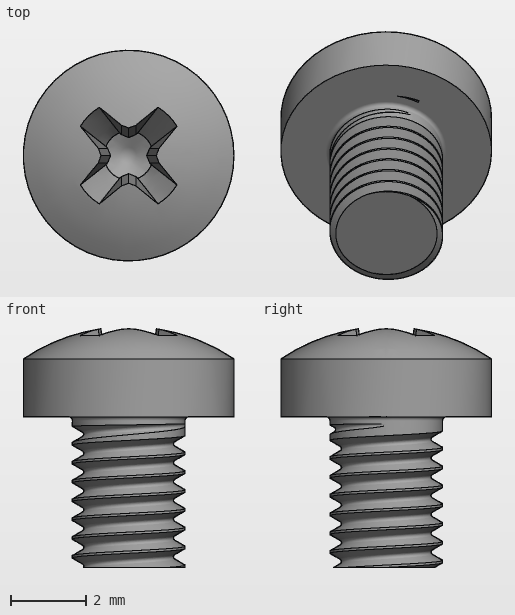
import cadquery as cq
import math

head_diameter = 5.6
head_height = 2.4
dome_radius = 5.0

shank_diameter = 3.0
shank_length = 4.0
under_head_fillet = 0.1
pitch = 0.5
flank_half_angle = 30.0
sharp_depth = pitch / 2 / math.tan(math.radians(flank_half_angle))
thread_depth = sharp_depth * 17 / 24
root_arc_radius = sharp_depth / 6
crest_width = pitch / 8
groove_overshoot = 0.04
last_groove_z = -0.465
runout_turns = 0.5

wing_count = 4
wing_tip_radius = 1.5
wing_tip_half_angle = 26.5
wing_bottom_radius = 0.65
point_half_angle = 62.0
ridge_radius = 0.735
ridge_draft = 7.4
ridge_half_width = 0.195
ridge_slope = 20.5
flank_direction = 40.4

head_radius = head_diameter / 2
shank_radius = shank_diameter / 2
root_radius = shank_radius - thread_depth


def tangent(degrees):
    return math.tan(math.radians(degrees))


def dome_z(radius):
    """Height of the dome surface at a distance from the axis."""
    return head_height - dome_radius + math.sqrt(dome_radius**2 - radius**2)


def make_blank():
    """Head and unthreaded shank, with the fillet under the head."""
    mid_radius = head_radius / 2
    fillet_offset = under_head_fillet * (1 - math.sqrt(0.5))
    return (
        cq.Workplane("XZ")
        .moveTo(0, -shank_length)
        .lineTo(shank_radius, -shank_length)
        .lineTo(shank_radius, -under_head_fillet)
        .threePointArc(
            (shank_radius + fillet_offset, -fillet_offset),
            (shank_radius + under_head_fillet, 0),
        )
        .lineTo(head_radius, 0)
        .lineTo(head_radius, dome_z(head_radius))
        .threePointArc((mid_radius, dome_z(mid_radius)), (0, head_height))
        .close()
        .revolve(360, (0, 0), (0, 1))
    )


def make_groove(turns, start_z, growth=0):
    """Groove cutter starting on the -X side, its radius growing by a set amount."""
    cone_angle = math.atan(growth / (turns * pitch))
    slant_pitch = pitch / math.cos(cone_angle)
    cone_degrees = math.degrees(cone_angle) if growth else 360
    helix = cq.Wire.makeHelix(
        slant_pitch, turns * slant_pitch, root_radius, angle=cone_degrees
    )

    outer_radius = shank_radius + groove_overshoot
    flank_slope = tangent(flank_half_angle)
    outer_half = (pitch - crest_width) / 2 + groove_overshoot * flank_slope
    tangent_radius = root_radius + root_arc_radius * (1 - math.sin(math.radians(flank_half_angle)))
    tangent_half = root_arc_radius * math.cos(math.radians(flank_half_angle))
    groove = (
        cq.Workplane("XZ")
        .moveTo(tangent_radius, -tangent_half)
        .lineTo(outer_radius, -outer_half)
        .lineTo(outer_radius, outer_half)
        .lineTo(tangent_radius, tangent_half)
        .threePointArc((root_radius, 0), (tangent_radius, -tangent_half))
        .close()
        .sweep(cq.Workplane(helix), isFrenet=True)
    )
    return groove.rotate((0, 0, 0), (0, 0, 1), 180).translate((0, 0, start_z))


def make_thread_groove():
    full_turns = math.ceil(shank_length / pitch)
    return make_groove(full_turns, last_groove_z - full_turns * pitch)


def make_thread_runout():
    """Last stretch of groove, fading out radially as it climbs to the head."""
    return make_groove(runout_turns, last_groove_z, thread_depth)


def make_corner_block(bottom_z):
    """Metal left between two wings: a chevron block leaning outward as it rises."""
    height = head_height - bottom_z
    lean = tangent(ridge_draft)
    ridge_y = ridge_radius - (dome_z(ridge_radius) - bottom_z) * lean
    corner_y = ridge_y + ridge_half_width * tangent(ridge_slope)
    flank_x = ridge_half_width + wing_tip_radius
    flank_y = corner_y + wing_tip_radius * tangent(flank_direction)
    outline = cq.Wire.makePolygon(
        [
            cq.Vector(0, ridge_y, bottom_z),
            cq.Vector(ridge_half_width, corner_y, bottom_z),
            cq.Vector(flank_x, flank_y, bottom_z),
            cq.Vector(-flank_x, flank_y, bottom_z),
            cq.Vector(-ridge_half_width, corner_y, bottom_z),
        ],
        close=True,
    )
    block = cq.Solid.extrudeLinear(outline, [], cq.Vector(0, lean * height, height))
    return cq.Workplane(block)


def make_recess():
    """Conical envelope less the four corner blocks, which leaves the cross."""
    tip_slope = tangent(wing_tip_half_angle)
    bottom_z = dome_z(wing_tip_radius) - (wing_tip_radius - wing_bottom_radius) / tip_slope
    point_z = bottom_z - wing_bottom_radius / tangent(point_half_angle)
    top_radius = wing_tip_radius + (head_height - dome_z(wing_tip_radius)) * tip_slope
    recess = (
        cq.Workplane("XZ")
        .polyline(
            [
                (0, point_z),
                (wing_bottom_radius, bottom_z),
                (top_radius, head_height),
                (0, head_height),
            ]
        )
        .close()
        .revolve(360, (0, 0), (0, 1))
    )
    corner_block = make_corner_block(point_z)
    for turn in range(wing_count):
        recess = recess.cut(corner_block.rotate((0, 0, 0), (0, 0, 1), turn * 360 / wing_count))
    return recess


result = (
    make_blank()
    .cut(make_thread_groove())
    .cut(make_thread_runout())
    .cut(make_recess())
)